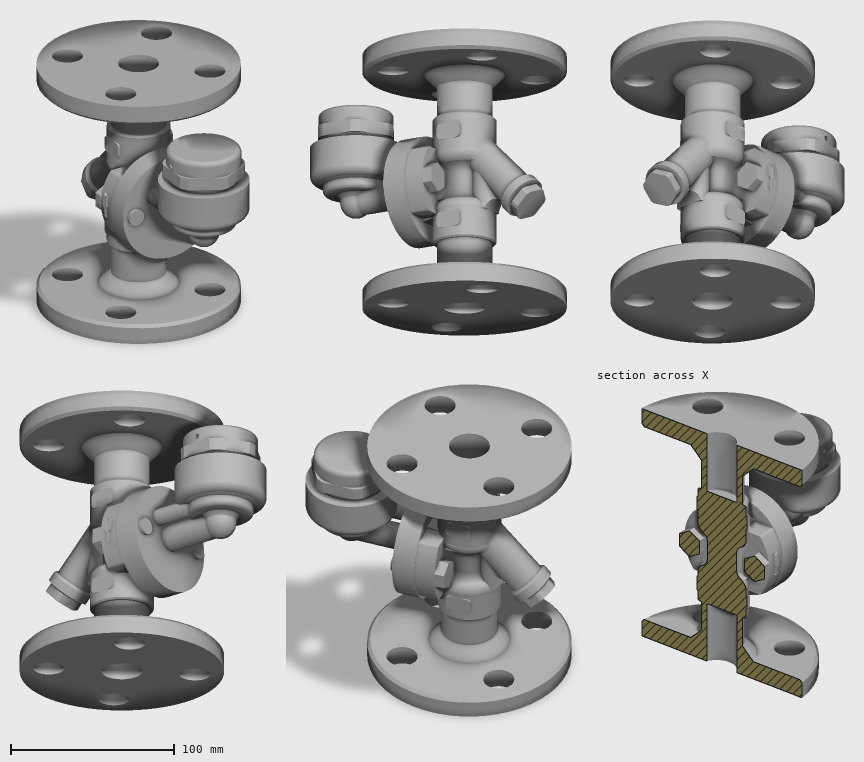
import cadquery as cq
import math


height = 160.0
flange_d = 125.0
flange_t = 12.5
flange_chamfer = 1.8
flange_hole_d = 19.0
flange_hole_count = 4
flange_pitch_r = 44.9
hub_d = 50.0
hub_length = 7.9
pipe_d = 34.0
bore_d = 25.0

drum_d = 39.0
drum_end_z = 39.7
drum_chamfer = 1.0
upper_drum_base_z = 16.6
upper_rim_z = 9.5
neck_top_z = 4.5
neck_base_z = -8.2
lower_rim_z = -14.0
lower_drum_top_z = -21.0
rim_r = 16.3
neck_r = 11.6
shoulder_bulge = 1.26
neck_flare_r = 5.0

pad_length = 16.1
pad_height = 10.1
pad_corner_r = 2.7
upper_pad_z = 28.2
lower_pad_z = -27.7

branch_start_z = 26.5
branch_d = 23.0
branch_blend_r = 3.4
web_nose_r = 9.0
web_tip_x = -24.9
web_base_x = -19.5
web_base_z = -21.0
web_end_x = -7.5
web_round_r = 9.5
branch_collar_d = 27.0
branch_collar_start = 53.3
branch_collar_end = 60.5
collar_chamfer = 1.5
plug_gap = 1.2
plug_neck_d = 19.0
plug_length = 67.2
plug_flats = 21.0

connector_z = -2.2
pad_face_x = 10.1
disc_x = 23.0
disc_end_x = 37.7
disc_d = 67.0
oval_d = 65.9
oval_half_height = 20.5
oval_edge_r = 2.4
ridge_half_height = 22.4
ridge_width = 2 * neck_r
bolt_y = 25.2
bolt_head_x = 3.7
bolt_head_flats = 15.8
bolt_d = 10.5
bolt_projection = 2.4

arrow_x = 16.3
arrow_top_z = 6.4
arrow_notch = 1.5
arrow_shaft_base_z = -1.7
arrow_head_z = -7.9
arrow_tip_z = -10.3
arrow_half_width = 1.8
arrow_stem_half_width = 0.5
arrow_relief = 0.7

trap_x = 77.5
trap_d = 56.1
trap_top_z = 33.1
trap_side_base_z = 14.5
trap_edge_r = 4.9
foot_r = 20.2
foot_top_z = 8.4
foot_side_base_z = 5
foot_edge_r = 2.7
elbow_r = 9.8
elbow_collar_r = 11.6
elbow_collar_drop = 2.7
elbow_z = -2.0
cap_d = 46.0
cap_top_z = 54.5
cap_edge_r = 3.0
cap_neck_r = 21.7
hex_top_z = 44.2
hex_base_z = 36.5
hex_trim_d = 50.3
cap_hole_d = 3.4
cap_hole_z = 47.9
cap_hole_depth = 1.7
lower_pipe_d = 16.5
upper_pipe_d = 10.5
upper_pipe_y = -11.5
upper_pipe_z = 8.2


def cylinder_x(diameter, x_start, x_end, y, z):
    """Cylinder along X between two X positions."""
    plane = cq.Workplane("YZ", origin=(x_start, y, z))
    return plane.circle(diameter / 2).extrude(x_end - x_start)


def hexagon_corners(flats):
    """Corner-to-corner size of a hexagon from its size across flats."""
    return flats / math.cos(math.pi / 6)


def pipe_end():
    top = height / 2
    flange_r = flange_d / 2
    flange_base = top - flange_t
    profile = (
        cq.Workplane("XZ")
        .moveTo(0, drum_end_z)
        .lineTo(pipe_d / 2, drum_end_z)
        .lineTo(pipe_d / 2, flange_base - hub_length)
        .lineTo(hub_d / 2, flange_base)
        .lineTo(flange_r - flange_chamfer, flange_base)
        .lineTo(flange_r, flange_base + flange_chamfer)
        .lineTo(flange_r, top)
        .lineTo(0, top)
        .close()
    )
    bolt_holes = (
        cq.Workplane("XY", origin=(0, 0, flange_base))
        .polarArray(flange_pitch_r, 45, 360, flange_hole_count)
        .circle(flange_hole_d / 2)
        .extrude(flange_t)
    )
    return profile.revolve(360, (0, 0, 0), (0, 1, 0)).cut(bolt_holes)


def pipe_bore():
    """Blind bore of one pipe end, ending at the solid valve body."""
    depth = height / 2 - drum_end_z
    return cq.Workplane("XY", origin=(0, 0, drum_end_z)).circle(bore_d / 2).extrude(depth)


def shoulder_mid(r_a, z_a, r_b, z_b, bulge):
    """Middle point of an arc that bulges sideways from the chord a-b."""
    chord = math.hypot(r_b - r_a, z_b - z_a)
    return (
        (r_a + r_b) / 2 + bulge * (z_a - z_b) / chord,
        (z_a + z_b) / 2 + bulge * (r_b - r_a) / chord,
    )


def valve_body():
    drum_r = drum_d / 2
    lower_dome = shoulder_mid(drum_r, lower_drum_top_z, rim_r, lower_rim_z, -shoulder_bulge)
    lower_flare = shoulder_mid(rim_r, lower_rim_z, neck_r, neck_base_z, shoulder_bulge)
    upper_flare = shoulder_mid(neck_r, neck_top_z, rim_r, upper_rim_z, shoulder_bulge)
    upper_dome = shoulder_mid(rim_r, upper_rim_z, drum_r, upper_drum_base_z, -shoulder_bulge)
    drums = (
        cq.Workplane("XZ")
        .moveTo(0, -drum_end_z)
        .lineTo(drum_r - drum_chamfer, -drum_end_z)
        .lineTo(drum_r, drum_chamfer - drum_end_z)
        .lineTo(drum_r, lower_drum_top_z)
        .threePointArc(lower_dome, (rim_r, lower_rim_z))
        .threePointArc(lower_flare, (neck_r, neck_base_z))
        .lineTo(neck_r, neck_top_z)
        .threePointArc(upper_flare, (rim_r, upper_rim_z))
        .threePointArc(upper_dome, (drum_r, upper_drum_base_z))
        .lineTo(drum_r, drum_end_z - drum_chamfer)
        .lineTo(drum_r - drum_chamfer, drum_end_z)
        .lineTo(0, drum_end_z)
        .close()
        .revolve(360, (0, 0, 0), (0, 1, 0))
    )
    bridge = (
        cq.Workplane("YZ")
        .moveTo(0, lower_rim_z)
        .lineTo(rim_r, lower_rim_z)
        .threePointArc(lower_flare, (neck_r, neck_base_z))
        .lineTo(neck_r, neck_top_z)
        .threePointArc(upper_flare, (rim_r, upper_rim_z))
        .lineTo(0, upper_rim_z)
        .close()
        .extrude(pad_face_x)
    )
    bridge = bridge.union(bridge.mirror("XZ"))
    flare_start_x = pad_face_x - neck_flare_r
    flare_y = neck_r + neck_flare_r
    arc_offset = neck_flare_r * math.sqrt(0.5)
    flare = (
        cq.Workplane("XY", origin=(0, 0, lower_rim_z))
        .moveTo(flare_start_x, 0)
        .lineTo(flare_start_x, neck_r)
        .threePointArc((flare_start_x + arc_offset, flare_y - arc_offset), (pad_face_x, flare_y))
        .lineTo(pad_face_x, 0)
        .close()
        .extrude(upper_rim_z - lower_rim_z)
    )
    return drums.union(bridge).union(flare).union(flare.mirror("XZ"))


def side_pads(z):
    """Pad through the drum, flush with its widest line on both sides."""
    return (
        cq.Workplane("XY")
        .box(pad_length, drum_d, pad_height)
        .edges("|Y")
        .fillet(pad_corner_r)
        .translate((0, 0, z))
    )


branch_plane = cq.Plane(origin=(0, 0, branch_start_z), xDir=(0, 1, 0), normal=(-1, 0, -1))


def branch_tube():
    return cq.Workplane(branch_plane).circle(branch_d / 2).extrude(branch_collar_end)


def body_with_branch():
    """Valve body and branch tube, blended where the tube leaves the upper drum."""
    body = valve_body().union(branch_tube())
    joint = cq.selectors.BoxSelector(
        (-drum_d / 2, -branch_d / 2, upper_rim_z),
        (-neck_r, branch_d / 2, drum_end_z - drum_chamfer),
    )
    return body.edges(joint).fillet(branch_blend_r)


def branch_web():
    """Round-nosed web filling the corner between the branch and the lower drum."""
    tube_drop = branch_start_z - branch_d * math.sqrt(0.5)
    web = (
        cq.Workplane("XZ", origin=(0, branch_d / 2, 0))
        .moveTo(web_tip_x, web_tip_x + tube_drop)
        .radiusArc((web_base_x, web_base_z), web_round_r)
        .lineTo(web_end_x, web_base_z)
        .lineTo(web_end_x, web_end_x + branch_start_z)
        .lineTo(web_tip_x, web_tip_x + branch_start_z)
        .close()
        .extrude(branch_d)
    )
    nose = (
        cq.Workplane("XY", origin=(web_tip_x + web_nose_r, 0, web_base_z))
        .circle(web_nose_r)
        .extrude(branch_start_z - web_base_z)
    )
    return web.intersect(nose)


def branch_plug():
    def section(start):
        return cq.Workplane(branch_plane).workplane(offset=start)

    collar = section(branch_collar_start).circle(branch_collar_d / 2)
    collar = collar.extrude(branch_collar_end - branch_collar_start)
    collar = collar.faces("<(-1,0,-1)").chamfer(collar_chamfer)
    neck = section(branch_collar_end).circle(plug_neck_d / 2).extrude(plug_gap)
    head_start = branch_collar_end + plug_gap
    head_length = plug_length - head_start
    corners = hexagon_corners(plug_flats)
    head = section(head_start).transformed(rotate=(0, 0, 90)).polygon(6, corners).extrude(head_length)
    head = head.intersect(section(head_start).circle(branch_d / 2).extrude(head_length))
    return collar.union(neck).union(head)


def connector():
    disc = cylinder_x(disc_d, disc_x, disc_end_x, 0, connector_z)
    length = disc_x - pad_face_x
    oval = cylinder_x(oval_d, pad_face_x, disc_x, 0, connector_z)
    slab = cq.Workplane("YZ", origin=(pad_face_x, 0, connector_z))
    slab = slab.rect(oval_d, 2 * oval_half_height).extrude(length)
    oval = oval.intersect(slab).edges("|X").edges(">Z or <Z").fillet(oval_edge_r)
    ridge = (
        cq.Workplane("XZ", origin=(0, ridge_width / 2, connector_z))
        .moveTo(pad_face_x, -oval_half_height)
        .lineTo(disc_x, -ridge_half_height)
        .lineTo(disc_x, ridge_half_height)
        .lineTo(pad_face_x, oval_half_height)
        .close()
        .extrude(ridge_width)
    )
    body = oval.union(ridge).union(disc)
    for y in (-bolt_y, bolt_y):
        head = (
            cq.Workplane("YZ", origin=(bolt_head_x, y, connector_z))
            .transformed(rotate=(0, 0, 90))
            .polygon(6, hexagon_corners(bolt_head_flats))
            .extrude(pad_face_x - bolt_head_x)
        )
        shank = cylinder_x(bolt_d, disc_end_x, disc_end_x + bolt_projection, y, connector_z)
        body = body.union(head).union(shank)
    return body


def flow_arrow():
    half = [
        (0, arrow_top_z - arrow_notch),
        (arrow_half_width, arrow_top_z),
        (arrow_half_width, arrow_shaft_base_z),
        (arrow_stem_half_width, arrow_shaft_base_z - arrow_half_width + arrow_stem_half_width),
        (arrow_stem_half_width, arrow_head_z),
        (arrow_half_width, arrow_head_z),
        (0, arrow_tip_z),
    ]
    outline = [(arrow_x + x, z) for x, z in half] + [(arrow_x - x, z) for x, z in half[-2:0:-1]]
    prism = cq.Workplane("XZ").polyline(outline).close().extrude(disc_d)
    skin = cylinder_x(disc_d + 2 * arrow_relief, pad_face_x, disc_x, 0, connector_z)
    return prism.intersect(skin)


def steam_trap():
    trap_r = trap_d / 2
    cap_r = cap_d / 2
    trap_base_z = trap_side_base_z - trap_edge_r
    foot_base_z = foot_side_base_z - foot_edge_r
    body = (
        cq.Workplane("XZ", origin=(trap_x, 0, 0))
        .moveTo(0, elbow_z - elbow_r)
        .radiusArc((elbow_r, elbow_z), -elbow_r)
        .lineTo(elbow_r, foot_base_z - elbow_collar_drop)
        .lineTo(elbow_collar_r, foot_base_z)
        .lineTo(foot_r - foot_edge_r, foot_base_z)
        .radiusArc((foot_r, foot_side_base_z), -foot_edge_r)
        .lineTo(foot_r, foot_top_z)
        .lineTo(trap_r - trap_edge_r, trap_base_z)
        .radiusArc((trap_r, trap_side_base_z), -trap_edge_r)
        .lineTo(trap_r, trap_top_z)
        .lineTo(cap_neck_r, trap_top_z)
        .lineTo(cap_r, hex_base_z)
        .lineTo(cap_r, cap_top_z - cap_edge_r)
        .radiusArc((cap_r - cap_edge_r, cap_top_z), -cap_edge_r)
        .lineTo(0, cap_top_z)
        .close()
        .revolve(360, (0, 0, 0), (0, 1, 0))
    )
    hex_plane = cq.Workplane("XY", origin=(trap_x, 0, hex_base_z))
    hex_height = hex_top_z - hex_base_z
    hexagon = hex_plane.polygon(6, hexagon_corners(cap_d)).extrude(hex_height)
    hexagon = hexagon.intersect(hex_plane.circle(hex_trim_d / 2).extrude(hex_height))
    cap_hole = (
        cq.Workplane("XZ", origin=(trap_x, cap_hole_depth - cap_r, cap_hole_z))
        .circle(cap_hole_d / 2)
        .extrude(cap_hole_depth)
    )
    lower_pipe = cylinder_x(lower_pipe_d, disc_end_x, trap_x, 0, elbow_z)
    upper_pipe = cylinder_x(upper_pipe_d, disc_end_x, trap_x, upper_pipe_y, upper_pipe_z)
    return body.union(hexagon).cut(cap_hole).union(lower_pipe).union(upper_pipe)


result = body_with_branch().union(branch_web())
result = result.union(side_pads(upper_pad_z)).union(side_pads(lower_pad_z))
result = result.union(branch_plug())
for end in (pipe_end(), pipe_end().mirror("XY")):
    result = result.union(end)
for bore in (pipe_bore(), pipe_bore().mirror("XY")):
    result = result.cut(bore)
result = result.union(connector()).union(flow_arrow()).union(steam_trap())